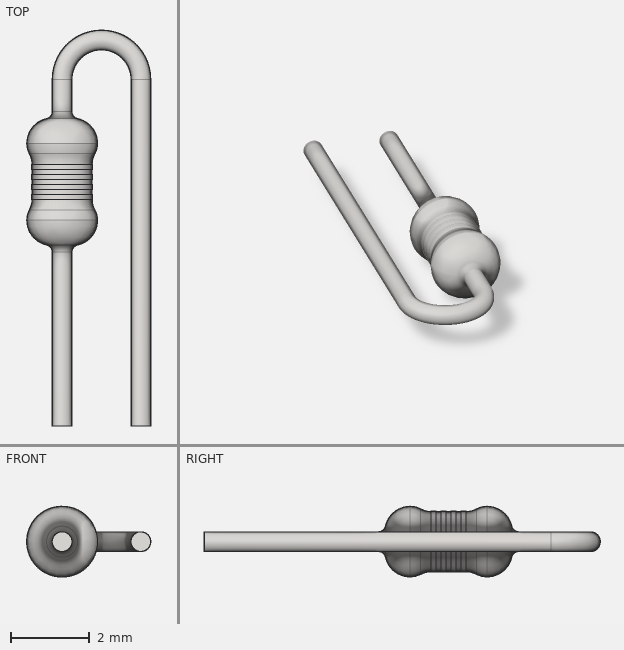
import cadquery as cq
import math

total_length = 10.05
wire_diameter = 0.5
wire_spacing = 2.0
wire_radius = wire_diameter / 2
bend_radius = wire_spacing / 2
bend_start = total_length - wire_radius - bend_radius

body_center = 6.2
body_radius = 1.8 / 2
waist_radius = 1.53 / 2
equator_offset = 0.97
dome_radius = 0.64
neck_end_offset = 1.78
shoulder_seam_offset = 0.71

band_radius = 1.55 / 2
band_count = 4
band_width = 0.127
band_pitch = 2 * band_width

waist_end_offset = (band_count - 0.5) * band_width

dome_center_radius = body_radius - dome_radius
neck_height = neck_end_offset - equator_offset
radial_gap = wire_radius - dome_center_radius
neck_fillet = (neck_height**2 + radial_gap**2 - dome_radius**2) / (2 * (dome_radius - radial_gap))
neck_angle = math.atan2(neck_height, radial_gap + neck_fillet)

shoulder_angle = 2 * math.atan2(body_radius - waist_radius, equator_offset - waist_end_offset)
shoulder_radius = (equator_offset - shoulder_seam_offset) / math.sin(shoulder_angle)
waist_fillet = (shoulder_seam_offset - waist_end_offset) / math.sin(shoulder_angle)


def arc_point(center, radius, angle):
    """Point on a circle in the (radial, axial) profile plane."""
    return (center[0] + radius * math.cos(angle), center[1] + radius * math.sin(angle))


def make_half_body():
    """Revolved half of the body, from its middle to the upper neck end."""
    waist_center = (waist_radius + waist_fillet, waist_end_offset)
    shoulder_center = (body_radius - shoulder_radius, equator_offset)
    dome_center = (dome_center_radius, equator_offset)
    neck_center = (wire_radius + neck_fillet, neck_end_offset)
    profile = (
        cq.Workplane("XY")
        .lineTo(waist_radius, 0)
        .lineTo(waist_radius, waist_end_offset)
        .threePointArc(
            arc_point(waist_center, waist_fillet, math.pi - shoulder_angle / 2),
            arc_point(waist_center, waist_fillet, math.pi - shoulder_angle),
        )
        .threePointArc(
            arc_point(shoulder_center, shoulder_radius, -shoulder_angle / 2),
            (body_radius, equator_offset),
        )
        .threePointArc(
            arc_point(dome_center, dome_radius, neck_angle / 2),
            arc_point(dome_center, dome_radius, neck_angle),
        )
        .threePointArc(
            arc_point(neck_center, neck_fillet, math.pi + neck_angle / 2),
            (wire_radius, neck_end_offset),
        )
        .lineTo(0, neck_end_offset)
        .close()
    )
    return profile.revolve(360, (0, 0), (0, 1))


def add_bands(body):
    """Join evenly spaced discs, slightly wider than the waist, to the body."""
    for index in range(band_count):
        band_end = waist_end_offset - index * band_pitch
        band = cq.Workplane("XZ", origin=(0, band_end, 0)).circle(band_radius).extrude(band_width)
        body = body.union(band)
    return body


def make_wire():
    """Lead bent back through a half circle beside the body."""
    path = (
        cq.Workplane("XY")
        .lineTo(0, bend_start)
        .threePointArc((bend_radius, bend_start + bend_radius), (wire_spacing, bend_start))
        .lineTo(wire_spacing, 0)
    )
    return cq.Workplane("XZ").circle(wire_radius).sweep(path)


half_body = make_half_body()
body = add_bands(half_body.union(half_body.mirror("XZ")))
result = make_wire().union(body.translate((0, body_center, 0))).clean()